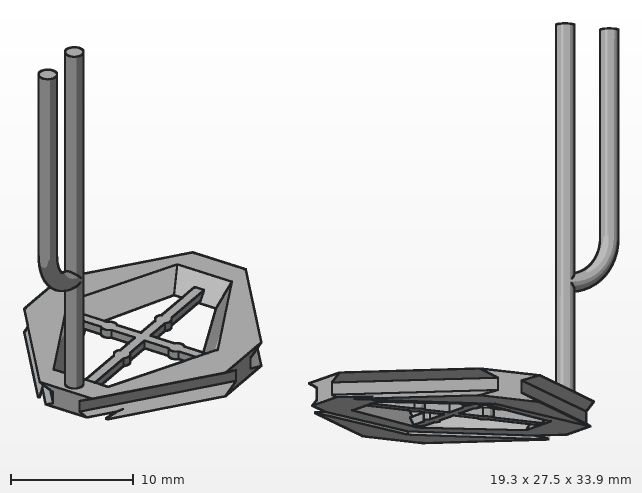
import cadquery as cq

overall_height = 33.9
plate_thickness = 2.25
half_width = 9.63
half_length = 11.95
rim_end_half = 2.55
rim_side_half = 2.8

waist_end_half = 1.27
waist_side_half = 1.12
waist_height = 1.02
flare_height = (plate_thickness - waist_height) / 2

end_land_length = 1.02
recess_depth = 0.27
recess_side_half = 7.2
recess_end_half = 3.2

opening_top = (7.2, 9.65, 2.6)
opening_bottom = (5.45, 8.15, 2.0)

bar_width = 0.9
bar_height = 0.75
bar_top_depth = 1.05
bump_diameter = 1.35
bump_offset = 3.22

rod_diameter = 1.53
post_y = -10.68
rod_spacing = 4.15
bend_height = 14.38

plate_top = plate_thickness


def octagon_points(end_half, side_half):
    return [
        (end_half, half_length), (half_width, side_half),
        (half_width, -side_half), (end_half, -half_length),
        (-end_half, -half_length), (-half_width, -side_half),
        (-half_width, side_half), (-end_half, half_length),
    ]


def hexagon_points(half_x, half_y, end_half):
    return [
        (end_half, half_y), (half_x, 0), (end_half, -half_y),
        (-end_half, -half_y), (-half_x, 0), (-end_half, half_y),
    ]


def ruled_solid(lower_points, upper_points, bottom, height):
    """Join two outlines with straight-sided walls."""
    return (
        cq.Workplane("XY", origin=(0, 0, bottom))
        .polyline(lower_points).close()
        .workplane(offset=height)
        .polyline(upper_points).close()
        .loft(ruled=True)
    )


def make_plate():
    rim = octagon_points(rim_end_half, rim_side_half)
    waist = octagon_points(waist_end_half, waist_side_half)
    body = (
        ruled_solid(rim, waist, 0, flare_height)
        .union(ruled_solid(waist, waist, flare_height, waist_height))
        .union(ruled_solid(waist, rim, plate_top - flare_height, flare_height))
    )
    opening = ruled_solid(
        hexagon_points(*opening_bottom),
        hexagon_points(*opening_top),
        recess_depth,
        plate_thickness - recess_depth,
    )
    return body.cut(opening).cut(make_recess())


def make_recess():
    """Six-sided pocket joined to a full-width step at each Y end."""
    land_start = half_length - end_land_length
    pocket = (
        cq.Workplane("XY")
        .polyline(hexagon_points(recess_side_half, land_start, recess_end_half)).close()
        .extrude(recess_depth)
    )
    step_y = land_start + end_land_length / 2
    steps = (
        cq.Workplane("XY")
        .pushPoints([(0, step_y), (0, -step_y)])
        .rect(2 * half_width, end_land_length)
        .extrude(recess_depth)
    )
    return pocket.union(steps)


def make_cross():
    bar_length_x = opening_bottom[0] + opening_top[0]
    bar_length_y = opening_bottom[1] + opening_top[1]
    base = cq.Workplane("XY", origin=(0, 0, plate_top - bar_top_depth - bar_height))
    bumps = [(bump_offset, 0), (-bump_offset, 0), (0, bump_offset), (0, -bump_offset)]
    return (
        base.rect(bar_length_x, bar_width).extrude(bar_height)
        .union(base.rect(bar_width, bar_length_y).extrude(bar_height))
        .union(base.pushPoints(bumps).circle(bump_diameter / 2).extrude(bar_height))
    )


def make_post():
    return (
        cq.Workplane("XY", origin=(0, post_y, plate_top))
        .circle(rod_diameter / 2)
        .extrude(overall_height - plate_top)
    )


def make_hook():
    """Quarter bend leaving the post, then a straight rod up to the post's height."""
    rod_y = post_y - rod_spacing
    bend_z = plate_top + bend_height
    straight = (
        cq.Workplane("XY", origin=(0, rod_y, bend_z))
        .circle(rod_diameter / 2)
        .extrude(overall_height - bend_z)
    )
    bend = (
        cq.Workplane("XY", origin=(0, rod_y, bend_z))
        .circle(rod_diameter / 2)
        .revolve(90, (0, rod_spacing, 0), (1, rod_spacing, 0))
    )
    return straight.union(bend)


result = make_plate().union(make_cross()).union(make_post()).union(make_hook())